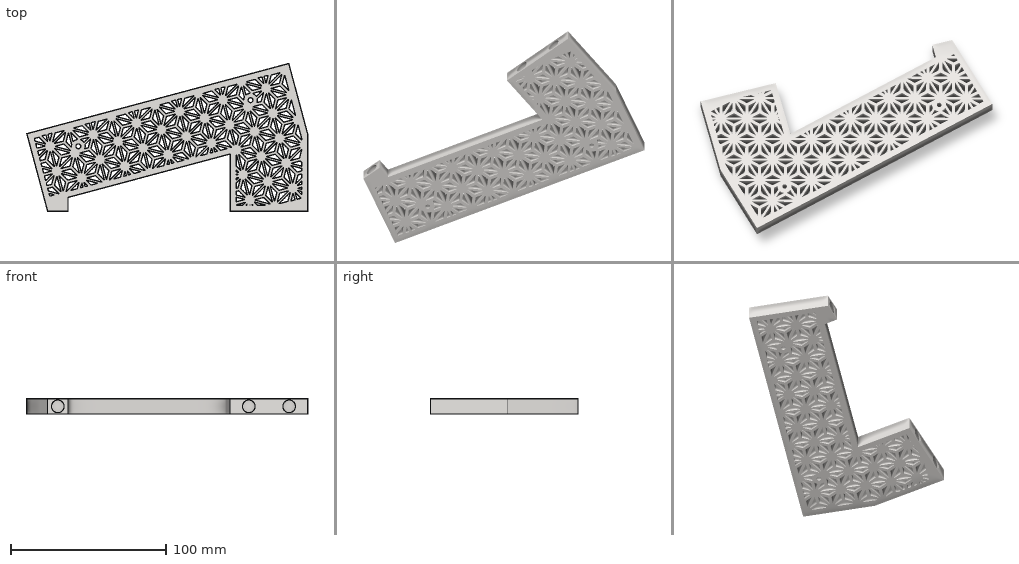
import cadquery as cq
import math

thickness = 10.0
tilt = math.radians(15)
arm_length = 174.87
arm_width = 46.65
overall_x = 181.1
overall_y = 95.31
long_foot_width = 50.0
short_foot_width = 13.25

frame_width = 4.0
star_spacing = 16.65
edge_strut = 1.5
spoke_strut = 2.0
first_star_along = 26.83
first_star_depth = 3.38
lattice_rows = 5

screw_diameter = 3.0
pad_diameter = 9.0
screw_end_distance = 30.0
screw_edge_distance = 16.5

magnet_diameter = 8.1
magnet_depth = 1.0
magnet_spacing = 26.0

arm_left_y = overall_y - arm_length * math.sin(tilt)
arm_right_x = arm_length * math.cos(tilt)
short_foot_left_x = arm_left_y * math.tan(tilt)
short_foot_right_x = short_foot_left_x + short_foot_width
long_foot_left_x = overall_x - long_foot_width
right_corner_y = overall_y - (overall_x - arm_right_x) / math.tan(tilt)
spoke_angle = math.radians(60)
column_step = star_spacing * math.sqrt(3) / 2
lattice_bottom_depth = first_star_depth + lattice_rows * star_spacing - edge_strut / 2


def place(along, depth):
    """Point at a distance along the arm's top edge and a depth below that edge."""
    x = along * math.cos(tilt) + depth * math.sin(tilt)
    y = arm_left_y + along * math.sin(tilt) - depth * math.cos(tilt)
    return (x, y)


def arm_underside_y(x):
    """Height of the arm's lower edge at a given X."""
    return arm_left_y - arm_width / math.cos(tilt) + x * math.tan(tilt)


def prism(points):
    """Full-thickness block with a straight-sided outline."""
    return cq.Workplane("XY").polyline(points).close().extrude(thickness)


def cylinders(points, diameter):
    """Full-thickness round columns at the given points."""
    return cq.Workplane("XY").pushPoints(points).circle(diameter / 2).extrude(thickness)


def make_plate():
    """Solid plate outline, clockwise from the leftmost corner."""
    return prism([
        (0, arm_left_y),
        (arm_right_x, overall_y),
        (overall_x, right_corner_y),
        (overall_x, 0),
        (long_foot_left_x, 0),
        (long_foot_left_x, arm_underside_y(long_foot_left_x)),
        (short_foot_right_x, arm_underside_y(short_foot_right_x)),
        (short_foot_right_x, 0),
        (short_foot_left_x, 0),
    ])


def tilted_window(bottom_depth):
    """Rectangle along the arm, inside the frame, down to the given depth."""
    arm_end = arm_length - frame_width
    return prism([
        place(frame_width, frame_width),
        place(arm_end, frame_width),
        place(arm_end, bottom_depth),
        place(frame_width, bottom_depth),
    ])


def make_window():
    """Region inside the solid frame that the lattice openings may occupy."""
    foot_left_x = long_foot_left_x + frame_width
    foot_right_x = overall_x - frame_width
    foot = prism([
        (foot_left_x, frame_width),
        (foot_right_x, frame_width),
        (foot_right_x, overall_y),
        (foot_left_x, overall_y),
    ])
    arm = tilted_window(arm_width - frame_width)
    return arm.union(foot.intersect(tilted_window(lattice_bottom_depth)))


def triangle_opening(center, star_angle):
    """Corners of one of the three openings in a lattice triangle.

    The opening is a flat isosceles triangle: its base runs along a lattice edge,
    its apex points to the triangle centre, and star_angle is the direction from
    the centre to the middle of that edge.
    """
    edge_distance = star_spacing / (2 * math.sqrt(3))
    base = edge_distance - edge_strut / 2
    apex = spoke_strut / 2 / math.sin(spoke_angle)
    half_base = (base - apex) * math.tan(spoke_angle)
    corners = []
    for outward, sideways in [(apex, 0), (base, half_base), (base, -half_base)]:
        along = center[0] + outward * math.cos(star_angle) - sideways * math.sin(star_angle)
        depth = center[1] + outward * math.sin(star_angle) + sideways * math.cos(star_angle)
        corners.append(place(along, depth))
    return corners


def make_openings():
    """All lattice openings, before they are trimmed to the window."""
    openings = []
    first_column = -math.ceil(first_star_along / column_step)
    last_column = math.ceil((arm_length - first_star_along) / column_step)
    for column in range(first_column, last_column):
        for row in range(-1, lattice_rows + 1):
            along = first_star_along + column * column_step
            depth = first_star_depth + (row + (column % 2) / 2) * star_spacing
            right = (along + column_step / 3, depth + star_spacing / 2)
            left = (along - column_step / 3, depth + star_spacing / 2)
            for step in range(3):
                turn = step * 2 * math.pi / 3
                openings.append(prism(triangle_opening(right, math.pi + turn)).val())
                openings.append(prism(triangle_opening(left, turn)).val())
    return cq.Workplane(cq.Compound.makeCompound(openings))


def make_magnet_pockets():
    """Shallow round pockets in the flat ends of both feet."""
    short_foot_center = (short_foot_left_x + short_foot_right_x) / 2
    long_foot_center = (long_foot_left_x + overall_x) / 2
    centers = [
        short_foot_center,
        long_foot_center - magnet_spacing / 2,
        long_foot_center + magnet_spacing / 2,
    ]
    return (
        cq.Workplane("XZ")
        .pushPoints([(x, thickness / 2) for x in centers])
        .circle(magnet_diameter / 2)
        .extrude(-magnet_depth)
    )


screw_points = [
    place(screw_end_distance, screw_edge_distance),
    place(arm_length - screw_end_distance, screw_edge_distance),
]
lattice = make_window().cut(cylinders(screw_points, pad_diameter)).intersect(make_openings())
result = (
    make_plate()
    .cut(lattice)
    .cut(cylinders(screw_points, screw_diameter))
    .cut(make_magnet_pockets())
)